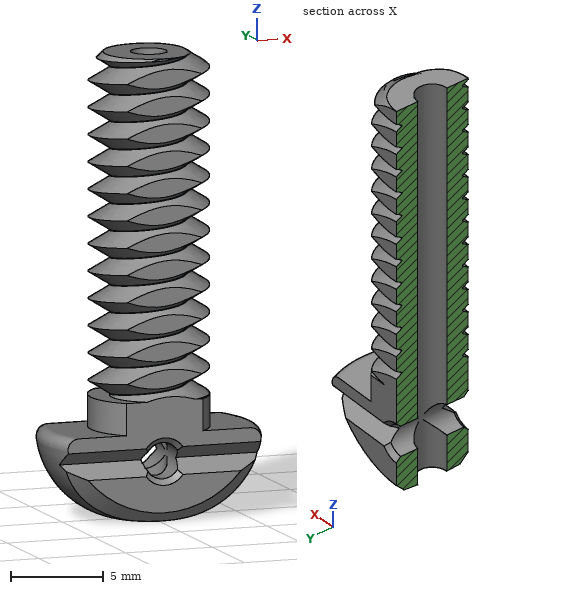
import cadquery as cq
import math

total_height = 25.6
body_width = 5.0
bore_diameter = 2.0

head_height = 5.0
underside_radius = 1.15
rim_fillet = 0.6

groove_z = 3.43
groove_depth = 1.0
groove_half_height = 0.77

bevel_side_radius = 5.75
bevel_axis_z = 6.37

countersink = 0.3

collar_diameter = 6.65
collar_top = 6.75
thread_radius = 3.3
core_radius = 2.12
turns = 11
turns_height = 16.5
pitch = turns_height / turns
flank_angle = 31.8
top_crest_drop = 0.75
root_overlap = 0.013
tip_radius = 2.48
core_overrun = 3 * pitch
crest_clearance = 0.03

half_width = body_width / 2
bore_radius = bore_diameter / 2
head_block_length = 2 * (underside_radius + head_height)


def make_head():
    """Revolved bowl: flat underside, quarter-round flank, filleted top rim."""
    rim_radius = underside_radius + head_height
    diagonal = head_height * math.sqrt(0.5)
    flank_middle = (underside_radius + diagonal, head_height - diagonal)
    head = (
        cq.Workplane("XZ")
        .lineTo(underside_radius, 0)
        .threePointArc(flank_middle, (rim_radius, head_height))
        .lineTo(0, head_height)
        .close()
        .revolve(360, (0, 0, 0), (0, 1, 0))
    )
    return head.faces(">Z").edges().fillet(rim_fillet)


def make_thread_ridge():
    """Sharp V ridge wound right-handed about Z, its root sunk into the core."""
    root_radius = core_radius - root_overlap
    half_base = (thread_radius - root_radius) * math.tan(math.radians(flank_angle))
    top_crest_z = total_height - top_crest_drop
    turns_below = math.ceil((top_crest_z - collar_top) / pitch) + 1
    start_z = top_crest_z - turns_below * pitch
    helix_height = (turns_below + 2) * pitch
    path = cq.Wire.makeHelix(pitch, helix_height, root_radius, cq.Vector(0, 0, start_z))
    return (
        cq.Workplane("XZ")
        .moveTo(root_radius, start_z - half_base)
        .lineTo(thread_radius, start_z)
        .lineTo(root_radius, start_z + half_base)
        .close()
        .sweep(cq.Workplane(obj=path), isFrenet=True)
    )


def make_shank():
    """Threaded shank, clipped flat at the collar and chamfered at the tip."""
    shank_length = total_height - collar_top
    envelope_radius = thread_radius + crest_clearance
    base = cq.Workplane("XY").workplane(offset=collar_top)
    envelope = base.circle(envelope_radius).extrude(shank_length)
    envelope = envelope.faces(">Z").chamfer(envelope_radius - tip_radius)
    core = (
        base.workplane(offset=-core_overrun)
        .circle(core_radius)
        .extrude(shank_length + 2 * core_overrun)
    )
    return core.union(make_thread_ridge()).intersect(envelope)


def make_side_groove(side):
    """V groove along X; side is +1 for the +Y face and -1 for the -Y face."""
    face_y = side * half_width
    return (
        cq.Workplane("YZ")
        .moveTo(face_y - side * groove_depth, groove_z)
        .lineTo(face_y, groove_z + groove_half_height)
        .lineTo(face_y, groove_z - groove_half_height)
        .close()
        .extrude(head_block_length / 2, both=True)
    )


def make_bevel_envelope():
    """Solid the part must stay inside: a double cone about a line along Y up to
    the groove, and a plain block of the body width above it."""
    middle_radius = bevel_side_radius + half_width
    cones = (
        cq.Workplane("XY")
        .workplane(offset=bevel_axis_z)
        .moveTo(0, -half_width)
        .lineTo(bevel_side_radius, -half_width)
        .lineTo(middle_radius, 0)
        .lineTo(bevel_side_radius, half_width)
        .lineTo(0, half_width)
        .close()
        .revolve(360, (0, 0, 0), (0, 1, 0))
    )
    upper_block = (
        cq.Workplane("XY")
        .workplane(offset=groove_z)
        .rect(head_block_length, body_width)
        .extrude(total_height - groove_z)
    )
    lower_block = (
        cq.Workplane("XY")
        .rect(head_block_length, body_width)
        .extrude(groove_z)
    )
    return cones.intersect(lower_block).union(upper_block)


def make_cross_bore():
    """Bore along Y at groove height, countersunk at both flat sides."""
    mouth_radius = bore_radius + countersink
    return (
        cq.Workplane("XY")
        .workplane(offset=groove_z)
        .moveTo(0, -half_width)
        .lineTo(mouth_radius, -half_width)
        .lineTo(bore_radius, countersink - half_width)
        .lineTo(bore_radius, half_width - countersink)
        .lineTo(mouth_radius, half_width)
        .lineTo(0, half_width)
        .close()
        .revolve(360, (0, 0, 0), (0, 1, 0))
    )


collar = (
    cq.Workplane("XY")
    .workplane(offset=head_height)
    .circle(collar_diameter / 2)
    .extrude(collar_top - head_height)
)
axial_bore = cq.Workplane("XY").circle(bore_radius).extrude(total_height)

result = make_head().union(collar).union(make_shank())
result = result.intersect(make_bevel_envelope())
for side in (-1, 1):
    result = result.cut(make_side_groove(side))
result = result.cut(make_cross_bore()).cut(axial_bore)